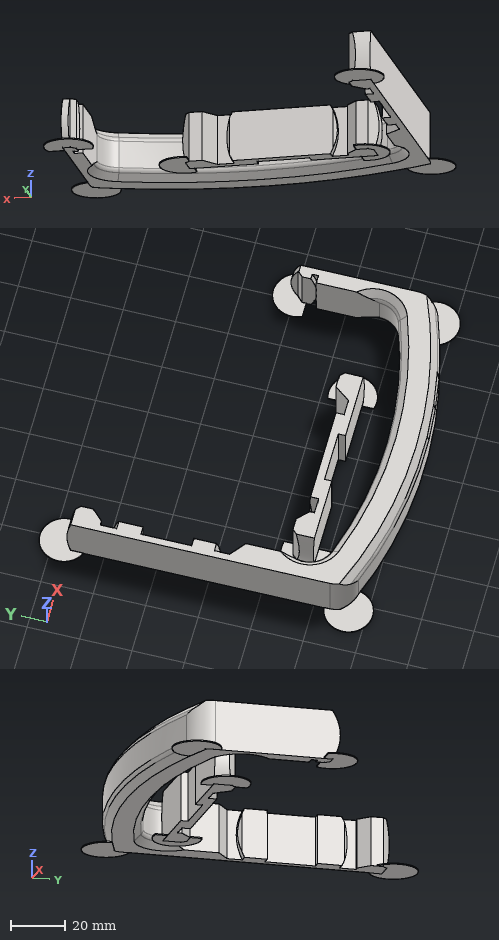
import cadquery as cq
import math

overall_width = 145.0
height = 19.0
wall = 2.8
ridge_depth = 3.2
hook_depth = 8.7
end_chamfer = 1.7
ridge_chamfer = 1.3
ridge_bulge = 2.3
overlap = 1.5
far = 290.0

half_width = 64.4
bow_radius = 171.1
bow_thickness = 14.8
bow_center_y = bow_radius
outer_corner_radius = 9.9
inner_corner_radius = 9.4
bevel = 3.3
bevel_blend = 1.0
arm_root_y = 43.5

left_slope_start_y = 53.7
left_slope_end_y = 58.3
left_tip_y = 118.2
left_tip_bulge = 1.5
lower_ridge = (64.1, 72.8)
upper_ridge = (92.1, 101.4)

right_thickness = wall + ridge_depth
right_shoulder_y = 56.7
right_tip_y = 64.1
right_tip_bulge = 3.0
nub_depth = 2.0
nub_start_y = 59.0

hook_flat_length = 6.4
hook_slope = 4.2
hook_length = hook_flat_length + hook_slope

clip_back_y = 29.7
clip_left_x = -47.1
clip_right_x = 24.1
clip_left_bulge = 1.6
clip_right_bulge = 1.5
clip_ridge = (-30.5, 6.7)
clip_notch = (-21.9, -1.9)
clip_slope_start_x = 12.9
clip_slope_end_x = 17.4

pad_diameter = 18.4
pad_thickness = 0.5
corner_pad_y = 12.5
left_tip_pad_x = -60.8
left_tip_pad_y = 121.7
right_tip_pad_x = 62.1
right_tip_pad_y = 64.8
right_tip_pad_cut_y = 60.8
clip_left_pad_x = -43.2
clip_right_pad_x = 25.2


def prism(points):
    return cq.Workplane("XY").polyline(points).close().extrude(height)


def block_between(x_start, x_end, y_start, y_end):
    return prism([(x_start, y_start), (x_end, y_start), (x_end, y_end), (x_start, y_end)])


def bulged_slab(plane, start, end, start_bulge, end_bulge):
    """Endless slab along the first axis of the plane, its ends bowed out at mid-height."""
    slab = cq.Workplane(plane).moveTo(start, 0).lineTo(end, 0)
    middle = height / 2
    if end_bulge:
        slab = slab.threePointArc((end + end_bulge, middle), (end, height))
    else:
        slab = slab.lineTo(end, height)
    slab = slab.lineTo(start, height)
    if start_bulge:
        slab = slab.threePointArc((start - start_bulge, middle), (start, 0))
    return slab.close().extrude(far, both=True)


def corner_center(wall_x, radius, corner_radius):
    """Center of the corner arc that is tangent to an arm wall and to the bow's arc."""
    x = wall_x - math.copysign(corner_radius, wall_x)
    return x, bow_center_y - math.sqrt((radius - corner_radius) ** 2 - x**2)


def arc_tangent_point(center, radius, corner_radius):
    stretch = radius / (radius - corner_radius)
    return center[0] * stretch, bow_center_y + (center[1] - bow_center_y) * stretch


def bow_prism(left_x, right_x, radius, corner_radius):
    left = corner_center(left_x, radius, corner_radius)
    right = corner_center(right_x, radius, corner_radius)
    return (
        cq.Workplane("XY")
        .moveTo(left_x, arm_root_y)
        .lineTo(left_x, left[1])
        .tangentArcPoint(arc_tangent_point(left, radius, corner_radius), relative=False)
        .threePointArc((0, bow_center_y - radius), arc_tangent_point(right, radius, corner_radius))
        .tangentArcPoint((right_x, right[1]), relative=False)
        .lineTo(right_x, arm_root_y)
        .close()
        .extrude(height)
    )


def bevelled_disc(center, radius, face_radius, angle=360):
    """Disc whose rim slopes from its mid radius to a different radius at both faces."""
    outward = math.copysign(1, face_radius - radius)
    blend_run = bevel_blend * math.sqrt(0.5)
    blend_radius = radius + outward * blend_run
    blend_low = bevel - blend_run
    rim_low = bevel + bevel_blend
    return (
        cq.Workplane("XZ", origin=(center[0], center[1], 0))
        .lineTo(face_radius, 0)
        .lineTo(blend_radius, blend_low)
        .tangentArcPoint((radius, rim_low), relative=False)
        .lineTo(radius, height - rim_low)
        .tangentArcPoint((blend_radius, height - blend_low), relative=False)
        .lineTo(face_radius, height)
        .lineTo(0, height)
        .close()
        .revolve(angle, (0, 0, 0), (0, 1, 0))
    )


def make_bow():
    inner_radius = bow_radius - bow_thickness
    left_x = -half_width + hook_depth
    right_x = half_width - right_thickness
    bow = bow_prism(-half_width, half_width, bow_radius, outer_corner_radius)
    bow = bow.intersect(bevelled_disc((0, bow_center_y), bow_radius, bow_radius - bevel))
    bow = bow.cut(bow_prism(left_x, right_x, inner_radius, inner_corner_radius))
    left = corner_center(left_x, inner_radius, inner_corner_radius)
    right = corner_center(right_x, inner_radius, inner_corner_radius)
    for corner in (left, right):
        bow = bow.cut(bevelled_disc(corner, inner_corner_radius, inner_corner_radius + bevel))
    start, end = [math.degrees(math.atan2(y - bow_center_y, x)) for x, y in (left, right)]
    disc_center = (0, bow_center_y)
    sector = bevelled_disc(disc_center, inner_radius, inner_radius + bevel, end - start)
    axis = ((0, bow_center_y, 0), (0, bow_center_y, 1))
    return bow.cut(sector.rotate(*axis, start))


def make_left_arm():
    outer_x = -half_width
    wall_x = outer_x + wall
    hook_x = outer_x + hook_depth
    end_y = left_tip_y + left_tip_bulge
    chamfer_y = left_tip_y - end_chamfer
    arm = prism(
        [
            (outer_x, arm_root_y),
            (hook_x, arm_root_y),
            (hook_x, left_slope_start_y),
            (wall_x, left_slope_end_y),
            (wall_x, left_tip_y - hook_length),
            (hook_x - hook_slope, left_tip_y - hook_length),
            (hook_x, left_tip_y - hook_flat_length),
            (hook_x, chamfer_y),
            (hook_x - (end_y - chamfer_y), end_y),
            (outer_x, end_y),
        ]
    ).intersect(bulged_slab("YZ", arm_root_y, left_tip_y, 0, left_tip_bulge))
    return arm.union(make_lower_ridge(wall_x)).union(make_upper_ridge(wall_x))


def make_lower_ridge(wall_x):
    start, end = lower_ridge
    block = block_between(wall_x - overlap, wall_x + ridge_depth, start - ridge_bulge, end)
    block = block.edges("|Z").edges(">X").edges("<Y").chamfer(ridge_chamfer)
    return block.intersect(bulged_slab("YZ", start, end, ridge_bulge, 0))


def make_upper_ridge(wall_x):
    start, end = upper_ridge
    block = block_between(wall_x - overlap, wall_x + ridge_depth, start, end + ridge_bulge)
    block = block.edges("|Z").edges(">X").edges(">Y").chamfer(ridge_chamfer)
    return block.intersect(bulged_slab("YZ", start, end, 0, ridge_bulge))


def make_right_arm():
    wall_x = half_width - wall
    nub_x = wall_x - nub_depth
    end_y = right_tip_y + right_tip_bulge
    arm = block_between(wall_x, half_width, arm_root_y, end_y)
    root = block_between(half_width - right_thickness, half_width, arm_root_y, right_shoulder_y)
    nub = prism(
        [
            (half_width, nub_start_y - ridge_bulge),
            (half_width, end_y),
            (wall_x, right_tip_y - end_chamfer + nub_depth),
            (nub_x, right_tip_y - end_chamfer),
            (nub_x, nub_start_y - ridge_bulge),
        ]
    ).intersect(bulged_slab("YZ", nub_start_y, end_y, ridge_bulge, 0))
    arm = arm.union(nub).intersect(bulged_slab("YZ", arm_root_y, right_tip_y, 0, right_tip_bulge))
    return arm.union(root)


def make_frame():
    return make_bow().union(make_left_arm()).union(make_right_arm())


def make_clip():
    wall_y = clip_back_y + wall
    hook_y = clip_back_y + hook_depth
    left_x = clip_left_x - clip_left_bulge
    right_x = clip_right_x + clip_right_bulge
    left_chamfer_x = clip_left_x + end_chamfer
    right_chamfer_x = clip_right_x - end_chamfer
    bar = prism(
        [
            (left_x, clip_back_y),
            (right_x, clip_back_y),
            (right_x, hook_y - (right_x - right_chamfer_x)),
            (right_chamfer_x, hook_y),
            (clip_slope_end_x, hook_y),
            (clip_slope_start_x, wall_y),
            (clip_left_x + hook_length, wall_y),
            (clip_left_x + hook_length, hook_y - hook_slope),
            (clip_left_x + hook_flat_length, hook_y),
            (left_chamfer_x, hook_y),
            (left_x, hook_y - (left_chamfer_x - left_x)),
        ]
    ).intersect(bulged_slab("XZ", clip_left_x, clip_right_x, clip_left_bulge, clip_right_bulge))

    notch_start, notch_end = clip_notch
    notch = block_between(notch_start, notch_end, clip_back_y, wall_y)
    return bar.union(make_clip_ridge(wall_y)).cut(notch)


def make_clip_ridge(wall_y):
    start, end = clip_ridge
    block = block_between(
        start - ridge_bulge, end + ridge_bulge, wall_y - overlap, wall_y + ridge_depth
    )
    block = block.edges("|Z").edges(">Y").chamfer(ridge_chamfer)
    return block.intersect(bulged_slab("XZ", start, end, ridge_bulge, ridge_bulge))


def make_pad(x, y, keep_from_x=-far, keep_to_x=far, keep_from_y=-far):
    """Thin disc, trimmed straight where a limit is given and fitted round the other bodies."""
    disc = cq.Workplane("XY").center(x, y).circle(pad_diameter / 2).extrude(pad_thickness)
    kept = block_between(keep_from_x, keep_to_x, keep_from_y, far)
    return disc.intersect(kept).cut(frame).cut(clip)


frame = make_frame()
clip = make_clip()

corner_pad_x = overall_width / 2 - pad_diameter / 2
clip_pad_y = clip_back_y + hook_depth / 2
pads = [
    make_pad(-corner_pad_x, corner_pad_y),
    make_pad(corner_pad_x, corner_pad_y),
    make_pad(left_tip_pad_x, left_tip_pad_y),
    make_pad(right_tip_pad_x, right_tip_pad_y, keep_from_y=right_tip_pad_cut_y),
    make_pad(clip_left_pad_x, clip_pad_y, keep_to_x=clip_left_x + hook_flat_length),
    make_pad(clip_right_pad_x, clip_pad_y, keep_from_x=clip_right_x - end_chamfer),
]

result = cq.Compound.makeCompound([frame.val(), clip.val(), *[pad.val() for pad in pads]])